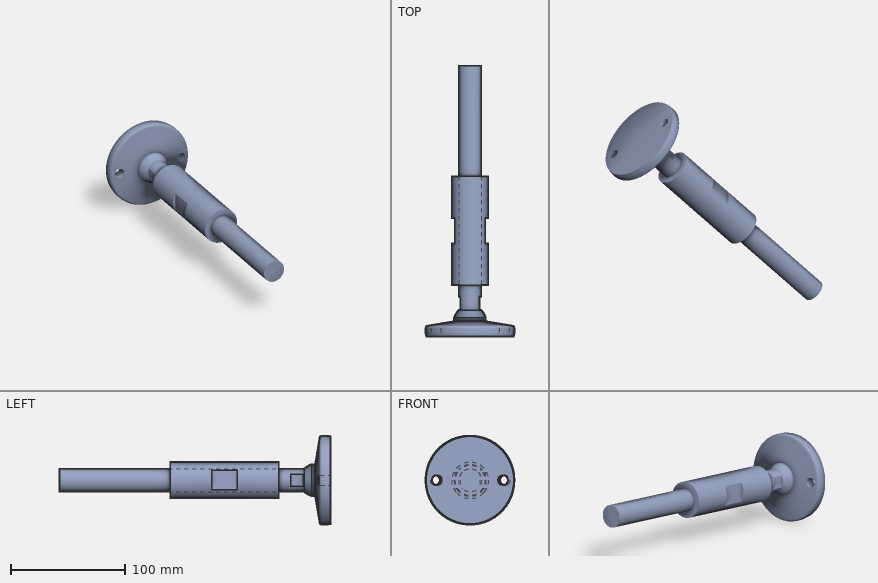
import cadquery as cq
import math


foot_diameter = 78.0
taper_height = 3.6
rim_corner_height = 9.35
shoulder_fillet = 2.5
slope_angle = 9.5
rim_taper_angle = 10.0
foot_radius = foot_diameter / 2
slope = math.radians(slope_angle)

hole_diameter = 8.5
hole_offset = 28.8
hole_tilt = slope_angle

rod_diameter = 20.0
collar_radius = 14.0
collar_bottom = 14.4
collar_top = 16.5
collar_undercut = 0.9
dome_top = 23.15
dome_radius = 15.4
wrench_flat_bottom = 23.7
wrench_flat_top = 35.0
wrench_flat_width = 17.0
overall_length = 237.0

sleeve_diameter = 32.0
sleeve_bottom = 45.2
sleeve_length = 95.0
sleeve_flat_width = 27.0
sleeve_flat_length = 22.0


def y_cylinder(diameter, start, end):
    """Cylinder on the Y axis between two Y positions."""
    return cq.Workplane("XZ", origin=(0, start, 0)).circle(diameter / 2).extrude(start - end)


def side_flats(diameter, width, start, end):
    """Two blocks that cut parallel flats on the -X and +X sides of a cylinder."""
    block = cq.Workplane("XY").box(diameter, end - start, 2 * diameter)
    offset = (width + diameter) / 2
    middle = (start + end) / 2
    left = block.translate((-offset, middle, 0))
    right = block.translate((offset, middle, 0))
    return left.union(right)


def revolve_about_y(profile):
    """Turned solid from a half section drawn in the XY plane."""
    return profile.revolve(360, (0, 0, 0), (0, 1, 0))


def slope_height(radius):
    """Height of the conical top of the plate at a radius."""
    return rim_corner_height + (foot_radius - radius) * math.tan(slope)


def make_plate():
    underside_radius = foot_radius - taper_height * math.tan(math.radians(rim_taper_angle))
    fillet_start = rim_corner_height - shoulder_fillet * math.tan((math.pi / 2 - slope) / 2)
    fillet_end_radius = foot_radius - shoulder_fillet * (1 - math.sin(slope))
    profile = (
        cq.Workplane("XY")
        .lineTo(underside_radius, 0)
        .lineTo(foot_radius, taper_height)
        .lineTo(foot_radius, fillet_start)
        .radiusArc((fillet_end_radius, slope_height(fillet_end_radius)), -shoulder_fillet)
        .lineTo(0, slope_height(0))
        .close()
    )
    plate = revolve_about_y(profile)
    drill_reach = slope_height(0)
    for side in (-1, 1):
        drill = y_cylinder(hole_diameter, -drill_reach, 2 * drill_reach)
        drill = drill.rotate((0, 0, 0), (0, 0, 1), -side * hole_tilt)
        plate = plate.cut(drill.translate((side * hole_offset, 0, 0)))
    return plate


def make_spindle():
    rod_radius = rod_diameter / 2
    foot_of_collar = collar_radius - collar_undercut
    profile = (
        cq.Workplane("XY")
        .lineTo(foot_of_collar, 0)
        .lineTo(foot_of_collar, slope_height(foot_of_collar))
        .lineTo(collar_radius, collar_bottom)
        .lineTo(collar_radius, collar_top)
        .radiusArc((rod_radius, dome_top), -dome_radius)
        .lineTo(rod_radius, overall_length)
        .lineTo(0, overall_length)
        .close()
    )
    spindle = revolve_about_y(profile)
    return spindle.cut(side_flats(rod_diameter, wrench_flat_width, wrench_flat_bottom, wrench_flat_top))


def make_sleeve():
    sleeve_top = sleeve_bottom + sleeve_length
    sleeve_middle = sleeve_bottom + sleeve_length / 2
    flat_start = sleeve_middle - sleeve_flat_length / 2
    flat_end = sleeve_middle + sleeve_flat_length / 2
    sleeve = y_cylinder(sleeve_diameter, sleeve_bottom, sleeve_top)
    sleeve = sleeve.cut(y_cylinder(rod_diameter, sleeve_bottom, sleeve_top))
    return sleeve.cut(side_flats(sleeve_diameter, sleeve_flat_width, flat_start, flat_end))


levelling_foot = make_plate().union(make_spindle())
sleeve = make_sleeve()
result = cq.Compound.makeCompound([levelling_foot.val(), sleeve.val()])